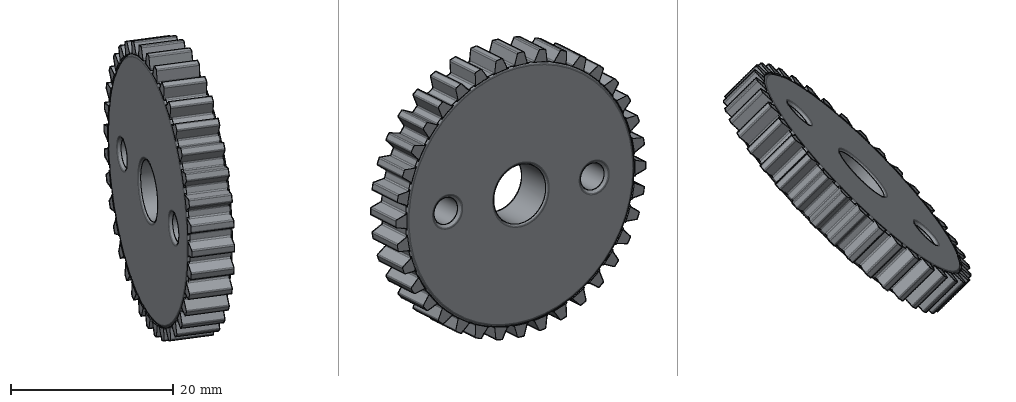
import cadquery as cq
import math

outer_diameter = 37.35
total_width = 5.83
tooth_width = 5.53
tooth_count = 36

root_diameter = 34.1
bore_diameter = 7.75
disc_chamfer = 0.25

pin_hole_diameter = 3.5
pin_hole_offset = 10.95
pin_hole_chamfer = 0.4

edge_fillet = 0.2

foot_half_width = 1.12
flank_half_width = 0.95
tip_half_width = 0.5

flank_start_height = 0.15
foot_radius = 0.3
tip_fillet = 0.2

outer_radius = outer_diameter / 2
root_radius = root_diameter / 2


def soften_end_edges(disc, size_rank, chamfer):
    """Chamfer the end-face circles of one size, then blend the chamfer into the faces."""
    same_size = cq.selectors.RadiusNthSelector(size_rank)
    disc = disc.faces("<Y or >Y").edges(same_size).chamfer(chamfer)
    return disc.faces("<Y or >Y").edges(same_size).fillet(edge_fillet)


def toothless_disc():
    """Disc with its bore and two pin holes, every end edge softened."""
    disc = cq.Workplane("XZ").circle(root_radius).circle(bore_diameter / 2).extrude(-total_width)
    hole_centers = [(-pin_hole_offset, 0), (pin_hole_offset, 0)]
    pin_holes = cq.Workplane("XZ").pushPoints(hole_centers).circle(pin_hole_diameter / 2).extrude(-total_width)
    disc = disc.cut(pin_holes)
    disc = soften_end_edges(disc, 0, pin_hole_chamfer)
    disc = soften_end_edges(disc, 1, disc_chamfer)
    return soften_end_edges(disc, 2, disc_chamfer)


def point_on_circle(radius, half_width):
    """Point on a circle about the gear axis at a given distance from the tooth centre line."""
    return half_width, math.sqrt(radius**2 - half_width**2)


def mirrored(point):
    return -point[0], point[1]


def tooth():
    """One tooth pointing along +Z, with a flared foot that follows the root circle."""
    foot = point_on_circle(root_radius, foot_half_width)
    flank = point_on_circle(root_radius + flank_start_height, flank_half_width)
    tip = point_on_circle(outer_radius, tip_half_width)
    outline = (
        cq.Workplane("XZ")
        .moveTo(*mirrored(foot))
        .radiusArc(mirrored(flank), -foot_radius)
        .lineTo(*mirrored(tip))
        .threePointArc((0, outer_radius), tip)
        .lineTo(*flank)
        .radiusArc(foot, -foot_radius)
        .threePointArc((0, root_radius), mirrored(foot))
        .close()
    )
    tip_corners = cq.selectors.BoxSelector(
        (-2 * tip_half_width, 0, tip[1] - tip_fillet),
        (2 * tip_half_width, tooth_width, tip[1] + tip_fillet),
    )
    return outline.extrude(-tooth_width).edges("|Y").edges(tip_corners).fillet(tip_fillet)


def ring_of_teeth():
    """All teeth, evenly spaced about the gear axis."""
    single_tooth = tooth().val()
    pitch_angle = 360 / tooth_count
    return [
        single_tooth.rotate(cq.Vector(0, 0, 0), cq.Vector(0, 1, 0), index * pitch_angle)
        for index in range(tooth_count)
    ]


gear_disc = toothless_disc().solids().val()
gear = gear_disc.fuse(*ring_of_teeth())
result = cq.Workplane("XZ").newObject(gear.Solids())